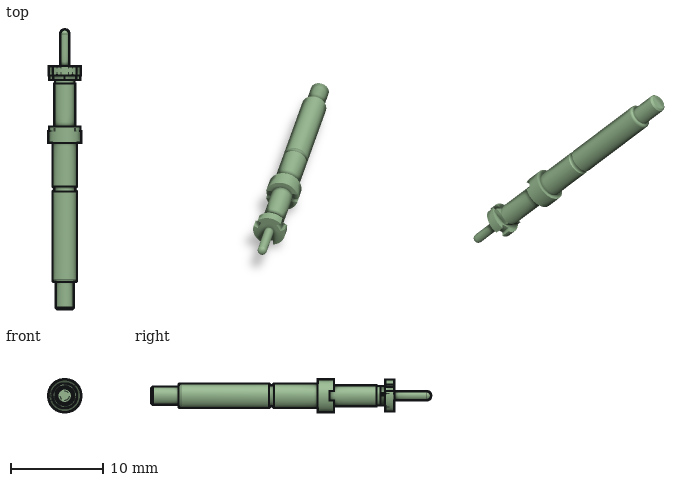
import cadquery as cq
import math

LENGTH = 30.3
FLANGE_START = 4.0
FLANGE_END = 5.0
DIAMOND_END = 5.5
NECK_END = 5.9
COLLAR_START = 10.5
COLLAR_END = 12.3
GROOVE_CENTER = 17.3
BODY_END = 27.35

PIN_RADIUS = 0.5
FLANGE_RADIUS = 1.77
NECK_RADIUS = 1.08
BARREL_RADIUS = 1.15
COLLAR_RADIUS = 1.8
BODY_RADIUS = 1.35
TAIL_RADIUS = 1.0

GROOVE_DEPTH = 0.2
GROOVE_HALF_WIDTH = 0.28
BODY_ROUND_LENGTH = 0.25
BODY_ROUND_DEPTH = 0.2
TAIL_CHAMFER = 0.2

DIAMOND_TIP = 1.7
DIAMOND_CREST = 1.07

SLOT_ANGLES = (30, 150, 270)
SLOT_WIDTH = 0.85
SLOT_FLOOR = 1.2

NOTCH_WIDTH = 1.0
NOTCH_LENGTH = 0.5

PIN_END_Y = COLLAR_START

DIAGONAL = math.sqrt(0.5)


def y_at(station):
    """Y coordinate of a station."""
    return PIN_END_Y - station


def disc(start, end, radius):
    """Cylinder about Y running from one station to a later one."""
    return cq.Workplane("XZ", origin=(0, y_at(start), 0)).circle(radius).extrude(end - start)


def turn(profile):
    """Revolve a closed half profile (X = radius) about the Y axis."""
    return profile.revolve(360, (0, 0, 0), (0, 1, 0))


def make_pin():
    """Thin pin with a hemispherical tip."""
    dome_base = y_at(PIN_RADIUS)
    dome_mid = (PIN_RADIUS * DIAGONAL, dome_base + PIN_RADIUS * DIAGONAL)
    profile = (
        cq.Workplane("XY")
        .moveTo(0, y_at(FLANGE_START))
        .lineTo(PIN_RADIUS, y_at(FLANGE_START))
        .lineTo(PIN_RADIUS, dome_base)
        .threePointArc(dome_mid, (0, PIN_END_Y))
        .close()
    )
    return turn(profile)


def make_bayonet_head():
    """Slotted flange with the diamond section behind it."""
    diamond = (
        cq.Workplane("XZ", origin=(0, y_at(FLANGE_END), 0))
        .polyline([(DIAMOND_TIP, 0), (0, DIAMOND_CREST), (-DIAMOND_TIP, 0), (0, -DIAMOND_CREST)])
        .close()
        .extrude(DIAMOND_END - FLANGE_END)
    )
    head = disc(FLANGE_START, FLANGE_END, FLANGE_RADIUS).union(diamond)
    slot = cq.Workplane("XY").box(
        FLANGE_RADIUS, DIAMOND_END - FLANGE_START, SLOT_WIDTH, centered=(False, False, True)
    ).translate((SLOT_FLOOR, y_at(DIAMOND_END), 0))
    for angle in SLOT_ANGLES:
        head = head.cut(slot.rotate((0, 0, 0), (0, 1, 0), -angle))
    return head


def make_collar():
    """Collar with one notch on each side, open toward the barrel."""
    notches = cq.Workplane("XY").box(
        2 * COLLAR_RADIUS, NOTCH_LENGTH, NOTCH_WIDTH, centered=(True, False, True)
    ).translate((0, y_at(COLLAR_START + NOTCH_LENGTH), 0))
    return disc(COLLAR_START, COLLAR_END, COLLAR_RADIUS).cut(notches)


def make_body_and_tail():
    """Body with a round-bottomed groove and a rounded end, then the chamfered tail."""
    round_start = BODY_END - BODY_ROUND_LENGTH
    round_radius = (BODY_ROUND_LENGTH**2 + BODY_ROUND_DEPTH**2) / (2 * BODY_ROUND_DEPTH)
    half_sweep = math.asin(BODY_ROUND_LENGTH / round_radius) / 2
    round_mid = (
        BODY_RADIUS - round_radius * (1 - math.cos(half_sweep)),
        y_at(round_start + round_radius * math.sin(half_sweep)),
    )
    groove_bottom = (BODY_RADIUS - GROOVE_DEPTH, y_at(GROOVE_CENTER))
    groove_far_edge = (BODY_RADIUS, y_at(GROOVE_CENTER + GROOVE_HALF_WIDTH))
    profile = (
        cq.Workplane("XY")
        .moveTo(0, y_at(COLLAR_END))
        .lineTo(BODY_RADIUS, y_at(COLLAR_END))
        .lineTo(BODY_RADIUS, y_at(GROOVE_CENTER - GROOVE_HALF_WIDTH))
        .threePointArc(groove_bottom, groove_far_edge)
        .lineTo(BODY_RADIUS, y_at(round_start))
        .threePointArc(round_mid, (BODY_RADIUS - BODY_ROUND_DEPTH, y_at(BODY_END)))
        .lineTo(TAIL_RADIUS, y_at(BODY_END))
        .lineTo(TAIL_RADIUS, y_at(LENGTH - TAIL_CHAMFER))
        .lineTo(TAIL_RADIUS - TAIL_CHAMFER, y_at(LENGTH))
        .lineTo(0, y_at(LENGTH))
        .close()
    )
    return turn(profile)


neck = disc(DIAMOND_END, NECK_END, NECK_RADIUS)
barrel = disc(NECK_END, COLLAR_END, BARREL_RADIUS)

result = (
    make_pin()
    .union(make_bayonet_head())
    .union(neck)
    .union(barrel)
    .union(make_collar())
    .union(make_body_and_tail())
)